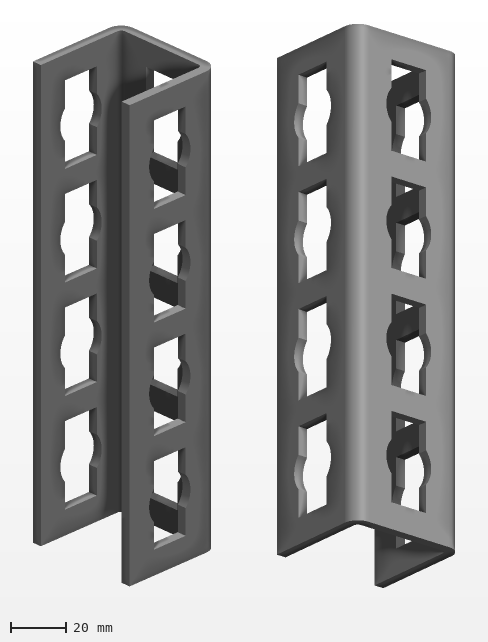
import cadquery as cq

length = 195.0
width = 50.0
depth = 45.0
thickness = 4.0
outer_bend_radius = 6.0
inner_bend_radius = outer_bend_radius - thickness

slot_count = 4
slot_pitch = 46.0
slot_width = 16.2
slot_height = 35.9
bulge_diameter = 21.0
flange_slot_to_edge = 20.5

back_y = depth / 2
free_edge_y = -depth / 2
flange_slot_y = free_edge_y + flange_slot_to_edge
slot_levels = [(i - (slot_count - 1) / 2) * slot_pitch for i in range(slot_count)]


def bent_block(block_width, block_back_y, bend_radius):
    """Block from the free edge to block_back_y, its two back corners rounded."""
    block_depth = block_back_y - free_edge_y
    return (
        cq.Workplane("XY")
        .center(0, free_edge_y + block_depth / 2)
        .rect(block_width, block_depth)
        .extrude(length / 2, both=True)
        .edges("|Z and >Y")
        .fillet(bend_radius)
    )


def slot_row(plane, through_length):
    """Slot cutters along Z, centred on the plane and reaching equally both ways."""
    centres = [(0, level) for level in slot_levels]
    rectangles = plane.pushPoints(centres).rect(slot_width, slot_height)
    row = rectangles.extrude(through_length / 2, both=True)
    circles = plane.pushPoints(centres).circle(bulge_diameter / 2)
    return row.union(circles.extrude(through_length / 2, both=True))


outer_block = bent_block(width, back_y, outer_bend_radius)
inner_block = bent_block(width - 2 * thickness, back_y - thickness, inner_bend_radius)
channel = outer_block.cut(inner_block)

back_slots = slot_row(cq.Workplane("XZ", origin=(0, back_y, 0)), 4 * thickness)

flange_slots = slot_row(cq.Workplane("YZ", origin=(0, flange_slot_y, 0)), 2 * width)

result = channel.cut(back_slots).cut(flange_slots)